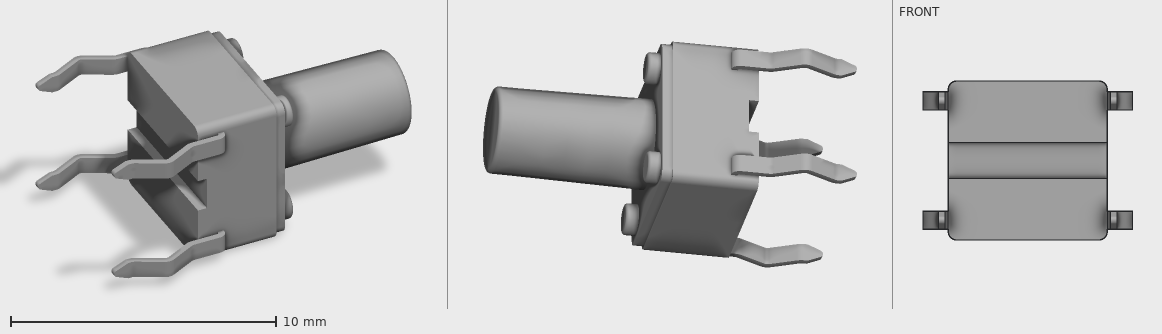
import cadquery as cq
import math


overall_length = 13.4

base_side = 6.0
base_depth = 3.3
base_corner_radius = 0.34
groove_width = 1.34
groove_depth = 0.38

cover_side = 5.84
cover_thickness = 0.4
cover_corner_radius = 0.38
cover_front_y = base_depth + cover_thickness

post_diameter = 1.2
post_height = 0.48
post_offset = 2.12
post_edge_radius = 0.12

plunger_length = 6.0
plunger_root_radius = 1.73
plunger_end_radius = 1.65
plunger_edge_radius = 0.16

pin_thickness = 0.25
pin_width = 0.7
pin_leg_x = 3.24
pin_offset_z = 2.25
pin_tip_y = cover_front_y + plunger_length - overall_length
pin_shoulder_y = 0.95
pin_knee_y = -1.65
pin_slant = math.radians(27)
pin_knee_reach = 3.95
shoulder_radius = 0.2
bend_radius = 0.39
knee_radius = 0.32
tip_radius = 0.15
tip_half_angle = math.radians(23)
tip_edge_radius = 0.19


def rounded_square_block(side, corner_radius, start_y, depth):
    """Square block centred on the Y axis, from start_y towards +Y."""
    return (
        cq.Workplane("XZ", origin=(0, start_y, 0))
        .rect(side, side)
        .extrude(-depth)
        .edges("|Y")
        .fillet(corner_radius)
    )


def make_base():
    block = rounded_square_block(base_side, base_corner_radius, 0, base_depth)
    groove = cq.Workplane("XY").box(base_side, 2 * groove_depth, groove_width)
    return block.cut(groove)


def make_cover():
    plate = rounded_square_block(cover_side, cover_corner_radius, base_depth, cover_thickness)
    posts = (
        cq.Workplane("XZ", origin=(0, cover_front_y, 0))
        .rect(2 * post_offset, 2 * post_offset, forConstruction=True)
        .vertices()
        .circle(post_diameter / 2)
        .extrude(-post_height)
        .faces(">Y")
        .edges()
        .fillet(post_edge_radius)
    )
    return plate.union(posts)


def make_plunger():
    """Slightly tapered round plunger standing on the cover."""
    plunger_end_y = cover_front_y + plunger_length
    return (
        cq.Workplane("XY")
        .moveTo(0, cover_front_y)
        .lineTo(plunger_root_radius, cover_front_y)
        .lineTo(plunger_end_radius, plunger_end_y)
        .lineTo(0, plunger_end_y)
        .close()
        .revolve(360, (0, 0, 0), (0, 1, 0))
        .faces(">Y")
        .edges()
        .fillet(plunger_edge_radius)
    )


def rounded_path(corners, radii):
    """Line through the corners, with a tangent arc at each inner corner."""
    path = cq.Workplane("XY").moveTo(*corners[0])
    for before, corner, after, radius in zip(corners, corners[1:], corners[2:], radii):
        corner_point = cq.Vector(*corner)
        incoming = (corner_point - cq.Vector(*before)).normalized()
        outgoing = (cq.Vector(*after) - corner_point).normalized()
        tangent_length = radius * math.tan(incoming.getAngle(outgoing) / 2)
        arc_start = corner_point - incoming * tangent_length
        arc_end = corner_point + outgoing * tangent_length
        path = path.lineTo(arc_start.x, arc_start.y)
        path = path.tangentArcPoint((arc_end.x, arc_end.y), relative=False)
    return path.lineTo(*corners[-1])


def pin_strip():
    """Bent strip of the +X pin, centred on Z = 0, with a square end."""
    knee_crest_x = pin_knee_reach - pin_thickness / 2
    knee_corner_x = knee_crest_x + knee_radius * (1 / math.cos(pin_slant) - 1)
    knee_half_length = (knee_corner_x - pin_leg_x) / math.tan(pin_slant)
    corners = [
        (base_side / 2, pin_shoulder_y),
        (pin_leg_x, pin_shoulder_y),
        (pin_leg_x, pin_knee_y + knee_half_length),
        (knee_corner_x, pin_knee_y),
        (pin_leg_x, pin_knee_y - knee_half_length),
        (pin_leg_x, pin_tip_y),
    ]
    path = rounded_path(corners, [shoulder_radius, bend_radius, knee_radius, bend_radius])
    return (
        cq.Workplane("YZ", origin=(base_side / 2, pin_shoulder_y, 0))
        .rect(pin_thickness, pin_width)
        .sweep(path)
    )


def pin_silhouette():
    """Block as wide as the pin, tapered to a rounded point at the tip."""
    tip_center_y = pin_tip_y + tip_radius
    tangent_y = tip_center_y - tip_radius * math.sin(tip_half_angle)
    tangent_z = tip_radius * math.cos(tip_half_angle)
    half_width = pin_width / 2
    taper_start_y = tangent_y + (half_width - tangent_z) / math.tan(tip_half_angle)
    block = (
        cq.Workplane("YZ")
        .moveTo(base_depth, half_width)
        .lineTo(taper_start_y, half_width)
        .lineTo(tangent_y, tangent_z)
        .threePointArc((pin_tip_y, 0), (tangent_y, -tangent_z))
        .lineTo(taper_start_y, -half_width)
        .lineTo(base_depth, -half_width)
        .close()
        .extrude(pin_knee_reach)
    )
    upper_corner = cq.NearestToPointSelector((pin_leg_x, taper_start_y, half_width))
    lower_corner = cq.NearestToPointSelector((pin_leg_x, taper_start_y, -half_width))
    return block.edges(upper_corner + lower_corner).fillet(tip_edge_radius)


def make_pins():
    """Four equal pins, two on the +X side and two mirrored to the -X side."""
    pin = pin_strip().intersect(pin_silhouette())
    mirrored_pin = pin.mirror("YZ")
    pins = []
    for side_pin in (pin, mirrored_pin):
        for z in (pin_offset_z, -pin_offset_z):
            pins.append(side_pin.translate((0, 0, z)).val())
    return pins


base = make_base()
cover = make_cover()
plunger = make_plunger()
pins = make_pins()

result = cq.Compound.makeCompound([base.val(), cover.val(), plunger.val(), *pins])